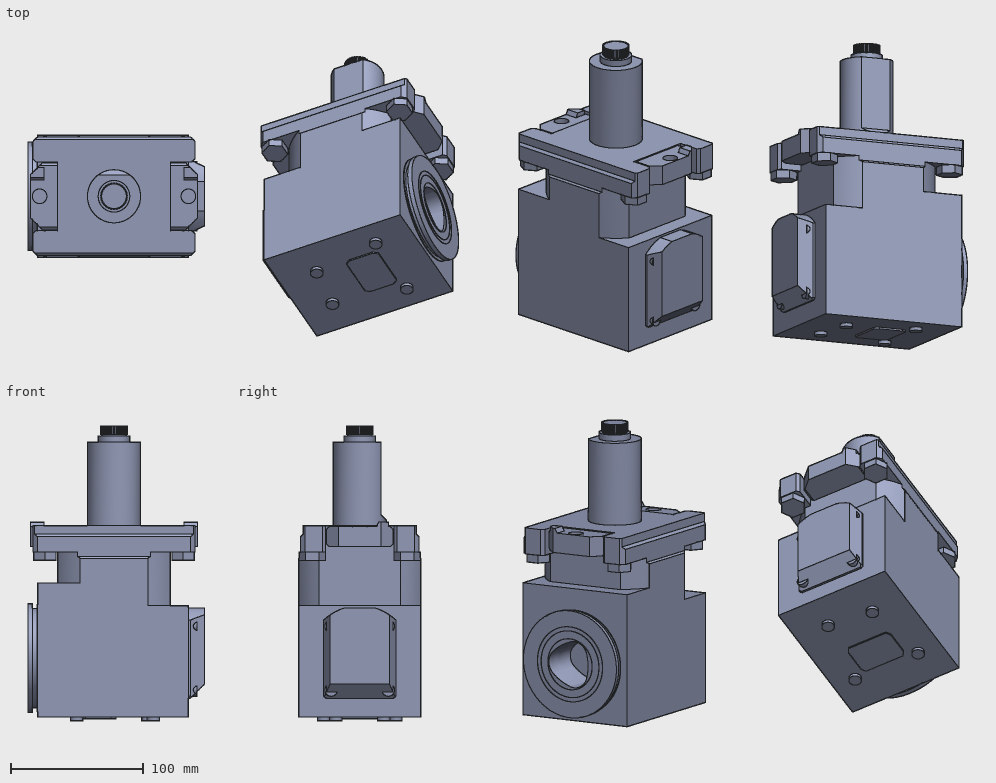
import cadquery as cq
import math


HOUSING_LEFT = -57.5
HOUSING_RIGHT = 56.0
HOUSING_BOTTOM = -44.5
LEFT_SHELF_Z = 56.7
RIGHT_SHELF_Z = 39.6
DEPTH_Y = 92.0

NECK_DIAMETER = 105.0
NECK_LENGTH_X = 85.0
RIB_LENGTH = 51.0
SHOULDER_BOTTOM = 75.1
SHOULDER_TOP = 76.5

PLATE_BOTTOM = 79.8
PLATE_TOP = 99.8
PLATE_LENGTH = 122.0
PLATE_WIDTH = 89.4
PLATE_CORNER = 3.3
LEDGE_DROP = 6.4
LEDGE_SIZE = 2.0
SLOT_WIDTH = 51.6
SLOT_FLOOR_X = 42.5
SLOT_MOUTH_CHAMFER = 2.3

CLIP_OUTER_X = 63.0
CLIP_BOTTOM = 83.9
CLIP_TOP = 99.0
CLIP_WIDTH = 50.4
CLIP_EDGE = 2.2
CLIP_CORNER = 9.1
CLIP_HOLE_DIAMETER = 11.0
CLIP_HOLE_X = 56.0
CLIP_HOLE_DEPTH = 12.0
TIP_TOP = 102.4
TIP_INNER_X = 52.6
TIP_Y_MIN = 12.4
TIP_Y_MAX = 21.8
TIP_SLOPE = 1.9

HEX_ACROSS_FLATS = 17.0
HEX_X = 52.0
HEX_Y = 35.75
HEX_HEIGHT = 6.2

SHANK_DIAMETER = 40.0
SHANK_TOP = 162.6
FLAT_Y = 16.0
FLAT_BOTTOM = 108.0
COLLAR_DIAMETER = 23.8
COLLAR_TOP = 167.4
KNOB_NECK_DIAMETER = 18.6
KNOB_BOTTOM = 168.3
KNOB_DIAMETER = 20.0
KNURL_COUNT = 30
KNURL_WIDTH = 1.0
KNURL_DEPTH = 0.7

PIN_DIAMETER = 9.5
PIN_HEIGHT = 2.65
PIN_POSITIONS = [(-28.1, 27.2), (-28.1, -27.2), (25.5, 18.0), (29.6, -18.0)]
PAD_LEFT = -25.0
PAD_RIGHT = 1.6
PAD_WIDTH = 36.8
PAD_CORNER_X = 3.7
PAD_CORNER_Y = 2.4
PAD_HEIGHT = 1.3

TOTAL_HEIGHT = 222.05
KNOB_TOP = HOUSING_BOTTOM - PIN_HEIGHT + TOTAL_HEIGHT

FLANGE_DIAMETER = 82.0
FLANGE_FACE_X = -64.8
FLANGE_THICKNESS = 3.4
SPINDLE_NECK_DIAMETER = 75.0
SPINDLE_RING_DIAMETER = 80.69
SPINDLE_RING_THICKNESS = 0.6
GROOVE_OUTER_DIAMETER = 57.42
GROOVE_INNER_DIAMETER = 51.0
COUNTERBORE_DIAMETER = 39.0
FACE_STEP = 0.3

BORE_LOBE_OFFSET = 7.3
BORE_LOBE_RADIUS = 11.4
BORE_FLANK_DISTANCE = 15.8
BORE_DEPTH = 30.0
BORE_TAPER = 0.75

TOTAL_LENGTH = 133.0
COVER_FACE_X = FLANGE_FACE_X + TOTAL_LENGTH
COVER_BASE_THICKNESS = 1.6
COVER_BASE_X = HOUSING_RIGHT + COVER_BASE_THICKNESS
COVER_RADIUS = 39.5
COVER_TOP = 37.9
COVER_BOTTOM = -30.3
COVER_BOTTOM_SLOPE = 10.8
COVER_HALF_WIDTH = 27.2
COVER_FACE_HALF_WIDTH = 22.3
COVER_SCREW_DIAMETER = 9.5
COVER_SCREW_Y = 21.5
COVER_SCREW_Z = 24.0
COVER_SCREW_FACE_X = 62.3


def block(x0, x1, y0, y1, z0, z1):
    """Box between two opposite corners."""
    return cq.Workplane("XY").box(x1 - x0, y1 - y0, z1 - z0, centered=False).translate((x0, y0, z0))


def cylinder_z(diameter, z0, z1):
    """Cylinder on the shank axis."""
    return cq.Workplane("XY").workplane(offset=z0).circle(diameter / 2).extrude(z1 - z0)


def cylinder_x(diameter, x0, x1, y=0, z=0):
    """Cylinder parallel to the tool bore axis."""
    return cq.Workplane("YZ").workplane(offset=x0).center(y, z).circle(diameter / 2).extrude(x1 - x0)


def make_housing():
    """Stepped block: a high shelf on the left, a rib in the middle, a low shelf on the right."""
    half_rib = RIB_LENGTH / 2
    outline = [
        (HOUSING_LEFT, HOUSING_BOTTOM),
        (HOUSING_RIGHT, HOUSING_BOTTOM),
        (HOUSING_RIGHT, RIGHT_SHELF_Z),
        (half_rib, RIGHT_SHELF_Z),
        (half_rib, SHOULDER_BOTTOM),
        (-half_rib, SHOULDER_BOTTOM),
        (-half_rib, LEFT_SHELF_Z),
        (HOUSING_LEFT, LEFT_SHELF_Z),
    ]
    return cq.Workplane("XZ").polyline(outline).close().extrude(DEPTH_Y / 2, both=True)


def make_neck():
    """Round neck with four flats; the Y flats step in under a sloping shoulder."""
    half_depth = DEPTH_Y / 2
    half_top = PLATE_WIDTH / 2
    section = [
        (-half_depth, RIGHT_SHELF_Z),
        (half_depth, RIGHT_SHELF_Z),
        (half_depth, SHOULDER_BOTTOM),
        (half_top, SHOULDER_TOP),
        (half_top, PLATE_BOTTOM),
        (-half_top, PLATE_BOTTOM),
        (-half_top, SHOULDER_TOP),
        (-half_depth, SHOULDER_BOTTOM),
    ]
    flats = cq.Workplane("YZ").polyline(section).close().extrude(NECK_LENGTH_X / 2, both=True)
    return cylinder_z(NECK_DIAMETER, RIGHT_SHELF_Z, PLATE_BOTTOM).intersect(flats)


def make_plate():
    """Plate with chamfered corners, a sloping ledge on each long side and a slot at each end."""
    half_width = PLATE_WIDTH / 2
    upper_half = half_width - LEDGE_SIZE
    ledge_top = PLATE_TOP - LEDGE_DROP
    section = [
        (-half_width, PLATE_BOTTOM),
        (half_width, PLATE_BOTTOM),
        (half_width, ledge_top - LEDGE_SIZE),
        (upper_half, ledge_top),
        (upper_half, PLATE_TOP),
        (-upper_half, PLATE_TOP),
        (-upper_half, ledge_top),
        (-half_width, ledge_top - LEDGE_SIZE),
    ]
    plate = cq.Workplane("YZ").polyline(section).close().extrude(PLATE_LENGTH / 2, both=True)
    outline = (
        cq.Workplane("XY")
        .workplane(offset=PLATE_BOTTOM)
        .rect(PLATE_LENGTH, PLATE_WIDTH)
        .extrude(PLATE_TOP - PLATE_BOTTOM)
        .edges("|Z")
        .chamfer(PLATE_CORNER)
    )
    plate = plate.intersect(outline)
    half_slot = SLOT_WIDTH / 2
    end_x = PLATE_LENGTH / 2
    slot_outline = [
        (SLOT_FLOOR_X, -half_slot),
        (end_x - SLOT_MOUTH_CHAMFER, -half_slot),
        (end_x, -half_slot - SLOT_MOUTH_CHAMFER),
        (end_x, half_slot + SLOT_MOUTH_CHAMFER),
        (end_x - SLOT_MOUTH_CHAMFER, half_slot),
        (SLOT_FLOOR_X, half_slot),
    ]
    slot = (
        cq.Workplane("XY")
        .workplane(offset=PLATE_BOTTOM)
        .polyline(slot_outline)
        .close()
        .extrude(PLATE_TOP - PLATE_BOTTOM)
    )
    return plate.cut(slot).cut(slot.mirror("YZ"))


def make_clip():
    """Clip on the +X side: bevelled bar with a raised tip and a blind hole."""
    length = CLIP_OUTER_X - SLOT_FLOOR_X
    bar = (
        block(SLOT_FLOOR_X, CLIP_OUTER_X, -CLIP_WIDTH / 2, CLIP_WIDTH / 2, CLIP_BOTTOM, CLIP_TOP)
        .edges("|X")
        .chamfer(CLIP_EDGE)
    )
    tip_section = [
        (TIP_Y_MIN, CLIP_TOP),
        (TIP_Y_MAX, CLIP_TOP),
        (TIP_Y_MAX, TIP_TOP),
        (TIP_Y_MIN + TIP_SLOPE, TIP_TOP),
    ]
    tip = (
        cq.Workplane("YZ")
        .workplane(offset=TIP_INNER_X)
        .polyline(tip_section)
        .close()
        .extrude(CLIP_OUTER_X - TIP_INNER_X)
    )
    plan = (
        cq.Workplane("XY")
        .workplane(offset=CLIP_BOTTOM)
        .center(SLOT_FLOOR_X + length / 2, 0)
        .rect(length, CLIP_WIDTH)
        .extrude(TIP_TOP - CLIP_BOTTOM)
        .edges("|Z and >X")
        .chamfer(CLIP_CORNER)
    )
    hole = (
        cq.Workplane("XY")
        .workplane(offset=CLIP_TOP - CLIP_HOLE_DEPTH)
        .center(CLIP_HOLE_X, 0)
        .circle(CLIP_HOLE_DIAMETER / 2)
        .extrude(CLIP_HOLE_DEPTH)
    )
    return bar.union(tip).intersect(plan).cut(hole)


def make_hex_heads():
    """Four hexagon heads under the plate; laid out along Y, then turned so corners point along Y."""
    across_corners = HEX_ACROSS_FLATS / math.cos(math.pi / 6)
    return (
        cq.Workplane("XY")
        .workplane(offset=PLATE_BOTTOM - HEX_HEIGHT)
        .rarray(2 * HEX_Y, 2 * HEX_X, 2, 2)
        .polygon(6, across_corners)
        .extrude(HEX_HEIGHT)
        .rotate((0, 0, 0), (0, 0, 1), 90)
    )


def make_shank():
    """Shank with a flat on the +Y side that runs out on a 45 degree slope."""
    shank = cylinder_z(SHANK_DIAMETER, PLATE_TOP, SHANK_TOP)
    radius = SHANK_DIAMETER / 2
    relief_section = [
        (FLAT_Y, SHANK_TOP),
        (FLAT_Y, FLAT_BOTTOM),
        (radius, FLAT_BOTTOM - (radius - FLAT_Y)),
        (radius, SHANK_TOP),
    ]
    relief = cq.Workplane("YZ").polyline(relief_section).close().extrude(radius, both=True)
    return shank.cut(relief)


def make_knob():
    """Collar, short neck and knob with straight knurling."""
    collar = cylinder_z(COLLAR_DIAMETER, SHANK_TOP, COLLAR_TOP)
    neck = cylinder_z(KNOB_NECK_DIAMETER, COLLAR_TOP, KNOB_BOTTOM)
    knob = cylinder_z(KNOB_DIAMETER, KNOB_BOTTOM, KNOB_TOP)
    grooves = (
        cq.Workplane("XY")
        .workplane(offset=KNOB_BOTTOM)
        .polarArray(KNOB_DIAMETER / 2, 0, 360, KNURL_COUNT)
        .rect(2 * KNURL_DEPTH, KNURL_WIDTH)
        .extrude(KNOB_TOP - KNOB_BOTTOM)
    )
    return collar.union(neck).union(knob.cut(grooves))


def make_spindle():
    """Flanged spindle nose with shallow steps on its face."""
    ring_x = HOUSING_LEFT - SPINDLE_RING_THICKNESS
    flange_back_x = FLANGE_FACE_X + FLANGE_THICKNESS
    step_x = FLANGE_FACE_X + FACE_STEP
    spindle = cylinder_x(SPINDLE_RING_DIAMETER, ring_x, HOUSING_LEFT)
    spindle = spindle.union(cylinder_x(SPINDLE_NECK_DIAMETER, flange_back_x, HOUSING_LEFT))
    spindle = spindle.union(cylinder_x(FLANGE_DIAMETER, FLANGE_FACE_X, flange_back_x))
    groove = cylinder_x(GROOVE_OUTER_DIAMETER, FLANGE_FACE_X, step_x)
    groove = groove.cut(cylinder_x(GROOVE_INNER_DIAMETER, FLANGE_FACE_X, step_x))
    counterbore = cylinder_x(COUNTERBORE_DIAMETER, FLANGE_FACE_X, step_x)
    return spindle.cut(groove).cut(counterbore)


def bore_section(x, shrink):
    """Rounded triangle, one lobe toward +Y: three lobe arcs joined tangentially by three flatter arcs."""
    lobe_radius = BORE_LOBE_RADIUS - shrink
    flank_distance = BORE_FLANK_DISTANCE - shrink
    gap = flank_distance - lobe_radius
    flank_offset = (BORE_LOBE_OFFSET**2 - gap**2) / (2 * gap - BORE_LOBE_OFFSET)
    lobe_half_angle = math.pi / 3 - math.atan2(
        BORE_LOBE_OFFSET * math.sin(math.pi / 3),
        flank_offset + BORE_LOBE_OFFSET / 2,
    )

    def lobe_point(axis_angle, angle):
        """Point at the given angle on the lobe whose centre lies along axis_angle."""
        y = BORE_LOBE_OFFSET * math.cos(axis_angle) + lobe_radius * math.cos(angle)
        z = BORE_LOBE_OFFSET * math.sin(axis_angle) + lobe_radius * math.sin(angle)
        return y, z

    section = cq.Workplane("YZ").workplane(offset=x).moveTo(*lobe_point(0, -lobe_half_angle))
    lobe_spacing = 2 * math.pi / 3
    for lobe in range(3):
        axis_angle = lobe * lobe_spacing
        next_axis = axis_angle + lobe_spacing
        flank_angle = axis_angle + lobe_spacing / 2
        flank_middle = (flank_distance * math.cos(flank_angle), flank_distance * math.sin(flank_angle))
        section = section.threePointArc(
            lobe_point(axis_angle, axis_angle),
            lobe_point(axis_angle, axis_angle + lobe_half_angle),
        )
        section = section.threePointArc(flank_middle, lobe_point(next_axis, next_axis - lobe_half_angle))
    return section.close().wire().val()


def make_bore():
    """Tapered blind bore with a rounded-triangle section."""
    mouth = bore_section(FLANGE_FACE_X, 0)
    floor = bore_section(FLANGE_FACE_X + BORE_DEPTH, BORE_TAPER)
    return cq.Workplane(cq.Solid.makeLoft([mouth, floor], True))


def make_cover():
    """Round cover cut back by a flat top, tapering sides and a sloping bottom, with four screws."""
    cover = cylinder_x(2 * COVER_RADIUS, HOUSING_RIGHT, COVER_FACE_X)
    plan = [
        (HOUSING_RIGHT, -COVER_HALF_WIDTH),
        (COVER_BASE_X, -COVER_HALF_WIDTH),
        (COVER_FACE_X, -COVER_FACE_HALF_WIDTH),
        (COVER_FACE_X, COVER_FACE_HALF_WIDTH),
        (COVER_BASE_X, COVER_HALF_WIDTH),
        (HOUSING_RIGHT, COVER_HALF_WIDTH),
    ]
    profile = [
        (HOUSING_RIGHT, COVER_BOTTOM),
        (COVER_FACE_X - COVER_BOTTOM_SLOPE, COVER_BOTTOM),
        (COVER_FACE_X, COVER_BOTTOM + COVER_BOTTOM_SLOPE),
        (COVER_FACE_X, COVER_TOP),
        (HOUSING_RIGHT, COVER_TOP),
    ]
    cover = cover.intersect(cq.Workplane("XY").polyline(plan).close().extrude(COVER_RADIUS, both=True))
    cover = cover.intersect(cq.Workplane("XZ").polyline(profile).close().extrude(COVER_RADIUS, both=True))
    for y in (-COVER_SCREW_Y, COVER_SCREW_Y):
        for z in (-COVER_SCREW_Z, COVER_SCREW_Z):
            cover = cover.union(cylinder_x(COVER_SCREW_DIAMETER, COVER_BASE_X, COVER_SCREW_FACE_X, y, z))
    return cover


def make_feet():
    """Locating pins and a thin pad with chamfered corners under the housing."""
    underside = cq.Workplane("XY").workplane(offset=HOUSING_BOTTOM)
    pins = underside.pushPoints(PIN_POSITIONS).circle(PIN_DIAMETER / 2).extrude(-PIN_HEIGHT)
    half = PAD_WIDTH / 2
    pad_outline = [
        (PAD_LEFT + PAD_CORNER_X, -half),
        (PAD_RIGHT - PAD_CORNER_X, -half),
        (PAD_RIGHT, -half + PAD_CORNER_Y),
        (PAD_RIGHT, half - PAD_CORNER_Y),
        (PAD_RIGHT - PAD_CORNER_X, half),
        (PAD_LEFT + PAD_CORNER_X, half),
        (PAD_LEFT, half - PAD_CORNER_Y),
        (PAD_LEFT, -half + PAD_CORNER_Y),
    ]
    pad = underside.polyline(pad_outline).close().extrude(-PAD_HEIGHT)
    return pins.union(pad)


result = make_housing().union(make_neck()).union(make_plate()).union(make_hex_heads())
clip = make_clip()
result = result.union(clip).union(clip.mirror("YZ"))
result = result.union(make_shank()).union(make_knob())
result = result.union(make_spindle()).cut(make_bore())
result = result.union(make_cover()).union(make_feet())